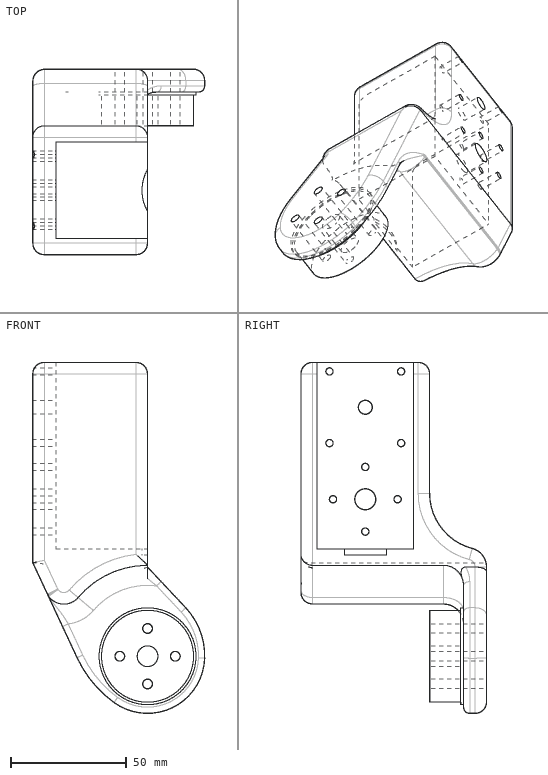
import cadquery as cq
import math


housing_width = 49.9
housing_depth = 56.0
top_z = 127.7
side_wall = 7.0
back_wall = 10.0
floor_thickness = 7.0
edge_radius = 5.0
heel_radius = 8.1

lobe_radius = 24.9
plate_back_y = 80.7
plate_thickness = 10.0
plate_front_y = plate_back_y - plate_thickness
plate_front_edge_radius = 2.7

hub_radius = 40.0 / 2
hub_front_y = housing_depth
hub_step_radius = 21.0
hub_step_height = 1.2
hub_hole_diameter = 4.1
hub_hole_circle_radius = 12.0
hub_bore_diameter = 9.0

neck_radius = plate_back_y - housing_depth
neck_bottom_z = 46.1
neck_center = (plate_back_y, neck_bottom_z + neck_radius)
shoulder_radius = 8.4
shoulder_drop = math.sqrt((neck_radius + shoulder_radius) ** 2 - shoulder_radius**2)
shoulder_z = neck_center[1] - shoulder_drop

left_slant_z = 40.6
left_slant_angle = math.radians(205)
left_blend_radius = 50.4
right_slant_z = shoulder_z
right_slant_angle = math.radians(43.2)
right_blend_radius = 30.5

hollow_radius = 39.5
hollow_blend_radius = 8.7
heel_exit_angle = math.radians(10)
rim_bottom_z = 9.2
rim_left_x = -34.3

wall_hole_y = housing_depth / 2
small_hole_diameter = 3.0
upper_hole_diameter = 6.0
upper_hole_z = 108.2
upper_square_half = 15.5
shaft_hole_diameter = 9.0
shaft_hole_z = 68.2
shaft_screw_radius = 14.0

relief_radius = 36.5 / 2
relief_inset = 2.5
relief_depth = 2.5

margin = 1.5
reach = 152.6


def polar(center, radius, angle):
    """Point at a distance and angle from a center."""
    return (center[0] + radius * math.cos(angle), center[1] + radius * math.sin(angle))


def y_cylinder(radius, y_start, y_end, x=0, z=0):
    return cq.Workplane("XZ", origin=(x, y_start, z)).circle(radius).extrude(y_start - y_end)


def distance_along(point, angle):
    """Distance of a point from the hub axis, measured along a direction."""
    return point[0] * math.cos(angle) + point[1] * math.sin(angle)


def lobe_blend(line_distance, normal_angle, blend_radius, side):
    """Three points of the arc from a slanted side to the lobe; side is +1 right, -1 left."""
    center_offset = blend_radius - lobe_radius
    turn = math.acos((blend_radius - line_distance) / center_offset)
    lobe_angle = normal_angle - side * turn
    center = polar((0, 0), -center_offset, lobe_angle)
    angles = (normal_angle, (normal_angle + lobe_angle) / 2, lobe_angle)
    return [polar(center, blend_radius, angle) for angle in angles]


def front_outline():
    """Outer shape in X and Z, with the rim of its back face rounded."""
    left_corner = (-housing_width, left_slant_z)
    right_corner = (0, right_slant_z)
    left_distance = distance_along(left_corner, left_slant_angle)
    right_distance = distance_along(right_corner, right_slant_angle)
    left_arc = lobe_blend(left_distance, left_slant_angle, left_blend_radius, -1)
    right_arc = lobe_blend(right_distance, right_slant_angle, right_blend_radius, 1)
    return (
        cq.Workplane("XZ")
        .moveTo(-housing_width, top_z)
        .lineTo(*left_corner)
        .lineTo(*left_arc[0])
        .threePointArc(left_arc[1], left_arc[2])
        .threePointArc((0, -lobe_radius), right_arc[2])
        .threePointArc(right_arc[1], right_arc[0])
        .lineTo(*right_corner)
        .lineTo(0, top_z)
        .close()
        .extrude(-plate_back_y)
        .faces(">Y")
        .edges()
        .fillet(edge_radius)
    )


def side_profile(x_start, x_end):
    """Shape in Y and Z: housing, concave neck, rounded shoulder and plate back."""
    join_angle = math.atan2(shoulder_drop, shoulder_radius)
    shoulder_center = (plate_back_y - shoulder_radius, shoulder_z)
    bottom_z = -lobe_radius - 2 * edge_radius
    return (
        cq.Workplane("YZ", origin=(x_start, 0, 0))
        .moveTo(housing_depth, top_z)
        .lineTo(*polar(neck_center, neck_radius, math.pi))
        .threePointArc(
            polar(neck_center, neck_radius, math.pi + join_angle / 2),
            polar(neck_center, neck_radius, math.pi + join_angle),
        )
        .threePointArc(
            polar(shoulder_center, shoulder_radius, join_angle / 2),
            (plate_back_y, shoulder_z),
        )
        .lineTo(plate_back_y, bottom_z)
        .lineTo(0, bottom_z)
        .lineTo(0, top_z)
        .close()
        .extrude(x_end - x_start)
    )


def is_rear(edge):
    return edge.BoundingBox().ymin > housing_depth / 2


def housing_and_shoulder():
    """Side shape with rounded rear edges along the housing, square where the lobe continues."""
    housing = side_profile(-housing_width, 0).faces("<X or >X").edges().filter(is_rear).fillet(edge_radius)
    below_shoulder = (
        cq.Workplane("XY", origin=(0, 0, shoulder_z)).rect(2 * reach, 2 * reach).extrude(-reach)
    )
    lobe_zone = side_profile(-2 * edge_radius, lobe_radius + margin).intersect(below_shoulder)
    return housing.union(lobe_zone)


def hollow_cutter():
    """Space around the hub, under the rounded heel of the housing, with a blended rim at the plate."""
    slant_distance = distance_along((-housing_width, left_slant_z), left_slant_angle)
    heel_distance = hollow_radius + heel_radius
    heel_angle = left_slant_angle - math.acos((slant_distance - heel_radius) / heel_distance)
    heel_center = polar((0, 0), heel_distance, heel_angle)

    heel_end_angle = left_slant_angle + heel_exit_angle
    heel_middle_angle = (heel_angle + math.pi + heel_end_angle) / 2
    heel_end = polar(heel_center, heel_radius, heel_end_angle)
    exit_point = polar(heel_end, housing_width, heel_end_angle - math.pi / 2)
    rim_zone = cq.selectors.BoxSelector(
        (-heel_distance - heel_radius, plate_front_y - margin, margin),
        (hollow_radius - margin, plate_front_y + margin, heel_distance),
    )
    return (
        cq.Workplane("XZ", origin=(0, -margin, 0))
        .moveTo(hollow_radius, 0)
        .threePointArc(
            polar((0, 0), hollow_radius, heel_angle / 2), polar((0, 0), hollow_radius, heel_angle)
        )
        .threePointArc(polar(heel_center, heel_radius, heel_middle_angle), heel_end)
        .lineTo(*exit_point)
        .lineTo(-reach, exit_point[1])
        .lineTo(-reach, -reach)
        .lineTo(reach, -reach)
        .lineTo(reach, 0)
        .close()
        .extrude(-(plate_front_y + margin))
        .edges(rim_zone)
        .fillet(hollow_blend_radius)
    )


def is_front_or_top(edge):
    tolerance = 0.02
    box = edge.BoundingBox()
    return box.ymax < tolerance or box.zmin > top_z - tolerance


def is_plate_rim(edge):
    """Edges around the front of the plate, without the rim of the hollow under the housing."""
    blend_start_y = plate_front_y - hollow_blend_radius / 2
    center = edge.Center()
    on_front = blend_start_y < center.y < plate_front_y + plate_front_edge_radius / 2
    beside_hollow_rim = center.z < rim_bottom_z or center.x > 0 or center.x < rim_left_x
    return on_front and beside_hollow_rim


def make_body():
    body = front_outline().intersect(housing_and_shoulder()).cut(hollow_cutter())
    body = body.edges().filter(is_front_or_top).fillet(edge_radius)
    return body.edges().filter(is_plate_rim).fillet(plate_front_edge_radius)


def cavity():
    """Pocket open at the top and on the +X side, with a round relief in its floor."""
    floor_z = hollow_radius + floor_thickness
    pocket = cq.Workplane().box(
        housing_width - back_wall + margin,
        housing_depth - 2 * side_wall,
        top_z - floor_z + margin,
        centered=False,
    )
    relief = (
        cq.Workplane("XY", origin=(relief_radius - relief_inset, housing_depth / 2, floor_z))
        .circle(relief_radius)
        .extrude(-relief_depth)
    )
    return pocket.translate((back_wall - housing_width, side_wall, floor_z)).union(relief)


def hub():
    step = y_cylinder(hub_step_radius, plate_front_y, plate_front_y - hub_step_height)
    return step.union(y_cylinder(hub_radius, plate_front_y, hub_front_y))


def hub_holes():
    """Blind center bore as deep as the plate front, and four holes through hub and plate."""
    holes = y_cylinder(hub_bore_diameter / 2, hub_front_y - margin, plate_front_y)
    for quarter in range(4):
        x, z = polar((0, 0), hub_hole_circle_radius, quarter * math.pi / 2)
        holes = holes.union(y_cylinder(hub_hole_diameter / 2, 0, plate_back_y + margin, x, z))
    return holes


def wall_holes():
    """Two round openings, a square of screw holes around the upper and a cross around the lower."""
    upper_center = (wall_hole_y, upper_hole_z)
    shaft_center = (wall_hole_y, shaft_hole_z)
    quarter_turns = [i * math.pi / 2 for i in range(4)]
    square_radius = upper_square_half * math.sqrt(2)
    square = [polar(upper_center, square_radius, turn + math.pi / 4) for turn in quarter_turns]
    cross = [polar(shaft_center, shaft_screw_radius, turn) for turn in quarter_turns]
    groups = (
        (upper_hole_diameter, [upper_center]),
        (shaft_hole_diameter, [shaft_center]),
        (small_hole_diameter, square + cross),
    )
    holes = cq.Workplane()
    for diameter, points in groups:
        outer_face = cq.Workplane("YZ", origin=(-housing_width - margin, 0, 0))
        drilled = outer_face.pushPoints(points).circle(diameter / 2).extrude(back_wall + 2 * margin)
        holes = holes.union(drilled)
    return holes


result = make_body().cut(cavity()).union(hub()).cut(hub_holes()).cut(wall_holes())